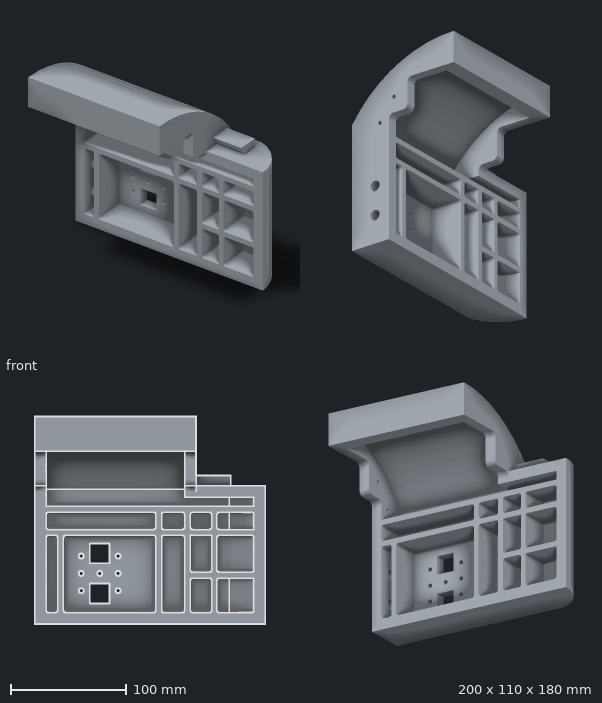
import cadquery as cq
import math

length = 200.0
body_depth = 40.0
body_height = 120.0
hood_length = 140.0
hood_depth = 110.0
height = 180.0
wall = 10.0

lip_bottom = 150.0
step_depth = 60.0
step_fillet = 5.0
lip_wall = 15.0
hood_rise = height - body_height
hood_radius = (hood_depth**2 + hood_rise**2) / (2 * hood_rise)
hood_axis_y = -hood_depth
hood_axis_z = height - hood_radius

tongue_end = 170.0
tongue_front = 30.0
tongue_height = 9.0
tongue_undercut = 5.2

end_flat = 170.0
end_run = length - end_flat
end_radius = (body_depth**2 + end_run**2) / (2 * end_run)
end_axis_x = length - end_radius
end_wall_radius = end_radius - wall
round_start = end_axis_x + math.sqrt(end_wall_radius**2 - (body_depth - wall) ** 2)

pocket_fillet = 2.0
rib = 5.0
row_split = 77.0
upper_row_bottom = row_split + rib
upper_row_top = 97.0
tray_bottom = upper_row_top + rib
tray_top = body_height - wall
tray_right = length - wall
hollow_right = hood_length - wall
main_right = 105.0
strip_right = 20.0
third_left = hollow_right + rib
third_right = 153.5
fourth_left = 158.0
low_cell_top = 40.0
mid_cell_bottom = low_cell_top + rib

open_left = ["left floor", "top left corner", "bottom left corner"]
open_right = ["right floor", "top right corner", "bottom right corner"]
square_top = ["top floor", "top left corner", "top right corner"]
pockets = [
    (wall, main_right, upper_row_bottom, upper_row_top, ["right floor"]),
    (main_right + rib, hollow_right, upper_row_bottom, upper_row_top, ["right floor", "bottom floor"]),
    (third_left, third_right, upper_row_bottom, upper_row_top, ["right floor", "bottom floor"]),
    (fourth_left, round_start, upper_row_bottom, upper_row_top, ["top floor"] + open_right),
    (round_start, tray_right, upper_row_bottom, upper_row_top, ["bottom arc"] + open_left),
    (wall, strip_right, wall, row_split, []),
    (strip_right + rib, main_right, wall, row_split, []),
    (main_right + rib, hollow_right, wall, row_split, []),
    (third_left, third_right, mid_cell_bottom, row_split, square_top),
    (fourth_left, tray_right, mid_cell_bottom, row_split, []),
    (third_left, third_right, wall, low_cell_top, []),
    (fourth_left, round_start, wall, low_cell_top, ["left floor", "top floor", "bottom floor"] + open_right),
    (round_start, tray_right, wall, low_cell_top, ["top arc"] + open_left),
]

panel_x = 56.5
panel_z = 44.0
window_size = 17.0
window_offset = 17.5
screw_diameter = 4.2
screw_pitch_x = 16.0
screw_pitch_z = 15.0

pin_diameter = 4.0
pin_places = [(30.0, 114.0), (45.2, 135.0)]
cable_diameter = 10.0
cable_places = [(25.0, 27.2), (25.0, 55.2)]


def box(x0, x1, y0, y1, z0, z1):
    return cq.Workplane("XY").box(x1 - x0, y1 - y0, z1 - z0, centered=False).translate((x0, y0, z0))


def cylinder_along_x(x0, x1, y, z, radius):
    return cq.Workplane("YZ", origin=(x0, y, z)).circle(radius).extrude(x1 - x0)


def cylinder_along_z(x, y, z0, z1, radius):
    return cq.Workplane("XY", origin=(x, y, z0)).circle(radius).extrude(z1 - z0)


def rounded_plan(inset):
    """Body envelope with a round end, its arc moved inward by the inset."""
    straight = box(0, end_axis_x, -body_depth, 0, 0, body_height)
    end = cylinder_along_z(end_axis_x, -body_depth, 0, body_height, end_radius - inset)
    return straight.union(end)


def make_body():
    return box(0, length, -body_depth, 0, 0, body_height).intersect(rounded_plan(0))


def make_hood():
    start = math.asin((body_height - hood_axis_z) / hood_radius)
    mid = (start + math.pi / 2) / 2
    arc_mid = (hood_axis_y + hood_radius * math.cos(mid), hood_axis_z + hood_radius * math.sin(mid))
    section = (
        cq.Workplane("YZ")
        .moveTo(0, 0)
        .lineTo(0, body_height)
        .threePointArc(arc_mid, (-hood_depth, height))
        .lineTo(-hood_depth, lip_bottom)
        .lineTo(-step_depth, lip_bottom)
        .lineTo(-step_depth, body_height)
        .lineTo(-body_depth, body_height)
        .lineTo(-body_depth, 0)
        .close()
        .extrude(hood_length)
    )
    around_step = cq.selectors.BoxSelector(
        (0, -step_depth - step_fillet, body_height - step_fillet),
        (hood_length, -body_depth + step_fillet, lip_bottom + step_fillet),
    )
    return section.edges("|X").edges(around_step).fillet(step_fillet)


def make_tongue():
    """Bar with a front face that leans forward over the body."""
    top = body_height + tongue_height
    return (
        cq.Workplane("YZ", origin=(hood_length, 0, 0))
        .moveTo(-wall, body_height)
        .lineTo(-wall, top)
        .lineTo(-tongue_front, top)
        .lineTo(-tongue_front + tongue_undercut, body_height)
        .close()
        .extrude(tongue_end - hood_length)
    )


def make_hollow():
    """Space under the arched shell, closed by the lip and the two end plates."""
    inside = cylinder_along_x(wall, hollow_right, hood_axis_y, hood_axis_z, hood_radius - wall)
    room = box(wall, hollow_right, lip_wall - hood_depth, -wall, tray_bottom, height)
    return inside.intersect(room)


def make_cavity(left, right, bottom, top):
    """Sharp-edged pocket that keeps one wall thickness behind it and at the round end."""
    cavity = box(left, right, -body_depth, -wall, bottom, top)
    if right > end_axis_x:
        cavity = cavity.intersect(rounded_plan(wall))
    return cavity


def make_pocket(left, right, bottom, top, sharp_edges):
    """Pocket with every edge rounded but the rim and the named sharp edges."""
    def is_rounded(edge):
        centre = edge.Center()
        across = "left" if math.isclose(centre.x, left) else "right"
        level = "top" if math.isclose(centre.z, top) else "bottom"
        if edge.geomType() == "CIRCLE":
            name = f"{level} arc"
        elif not math.isclose(centre.y, -wall):
            name = f"{level} {across} corner"
        elif math.isclose(centre.z, (bottom + top) / 2):
            name = f"{across} floor"
        else:
            name = f"{level} floor"
        return name not in sharp_edges

    cavity = make_cavity(left, right, bottom, top)
    return cavity.edges("not <Y").filter(is_rounded).fillet(pocket_fillet)


def make_windows():
    centres = [(panel_x, panel_z + side * window_offset) for side in (-1, 1)]
    return cq.Workplane("XZ").pushPoints(centres).rect(window_size, window_size).extrude(body_depth)


def make_screw_holes():
    centres = [(panel_x, panel_z)]
    for row in (-1, 0, 1):
        for side in (-1, 1):
            centres.append((panel_x + side * screw_pitch_x, panel_z + row * screw_pitch_z))
    return cq.Workplane("XZ").pushPoints(centres).circle(screw_diameter / 2).extrude(body_depth)


def make_end_holes(diameter, places):
    centres = [(-depth, z) for depth, z in places]
    return cq.Workplane("YZ").pushPoints(centres).circle(diameter / 2).extrude(wall)


result = make_body().union(make_hood()).union(make_tongue())
result = result.cut(make_hollow())
result = result.cut(make_cavity(wall, tray_right, tray_bottom, tray_top))
for pocket in pockets:
    result = result.cut(make_pocket(*pocket))
result = result.cut(make_windows())
result = result.cut(make_screw_holes())
result = result.cut(make_end_holes(pin_diameter, pin_places))
result = result.cut(make_end_holes(cable_diameter, cable_places))